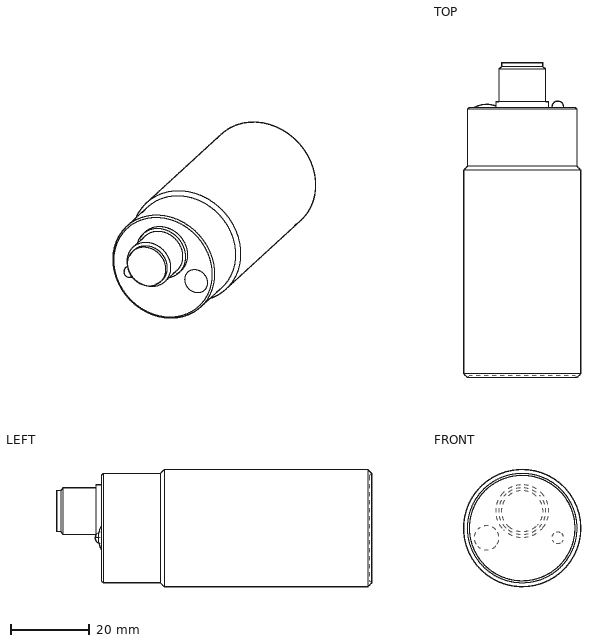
import cadquery as cq
import math

sleeve_end = 54.0
cap_end = 69.1
flange_end = 70.5
tip_start = 79.45
total_length = 80.5

sleeve_diameter = 30.0
cap_diameter = 28.0
sensing_face_diameter = 27.0

flange_diameter = 13.5
thread_diameter = 12.0
tip_diameter = 10.55

sleeve_chamfer = (sleeve_diameter - cap_diameter) / 2
face_recess_depth = (cap_diameter - sensing_face_diameter) / 2
thread_bevel_length = 0.6
cap_chamfer = 0.5

connector_height = 4.35
indicator_offset = 9.1
indicator_height = -2.5

lamp_diameter = 3.0
lamp_rise = 1.6
dome_diameter = 6.3
dome_rise = 0.8

overlap = 0.8


def make_sensor_body():
    """Sleeve with chamfered ends and recessed sensing face, stepping down to the cap."""
    sleeve_radius = sleeve_diameter / 2
    cap_radius = cap_diameter / 2
    half_section = (
        cq.Workplane("XY")
        .moveTo(0, face_recess_depth)
        .lineTo(sensing_face_diameter / 2, face_recess_depth)
        .lineTo(cap_radius, 0)
        .lineTo(sleeve_radius, sleeve_chamfer)
        .lineTo(sleeve_radius, sleeve_end - sleeve_chamfer)
        .lineTo(cap_radius, sleeve_end)
        .lineTo(cap_radius, cap_end)
        .lineTo(0, cap_end)
        .close()
    )
    body = half_section.revolve(360, (0, 0, 0), (0, 1, 0))
    return body.faces(">Y").chamfer(cap_chamfer)


def make_connector():
    """Flange, threaded barrel and reduced tip, set off above the sensor axis."""
    flange_radius = flange_diameter / 2
    thread_radius = thread_diameter / 2
    tip_radius = tip_diameter / 2
    half_section = (
        cq.Workplane("XY")
        .moveTo(0, cap_end - overlap)
        .lineTo(flange_radius, cap_end - overlap)
        .lineTo(flange_radius, flange_end)
        .lineTo(thread_radius, flange_end)
        .lineTo(thread_radius, tip_start - thread_bevel_length)
        .lineTo(tip_radius, tip_start)
        .lineTo(tip_radius, total_length)
        .lineTo(0, total_length)
        .close()
    )
    connector = half_section.revolve(360, (0, 0, 0), (0, 1, 0))
    return connector.translate((0, 0, connector_height))


def make_rear_bulge(diameter, rise, x):
    """Spherical bulge on the cap's rear face, on a short root sunk in the cap."""
    base_radius = diameter / 2
    sphere_radius = (base_radius**2 + rise**2) / (2 * rise)
    half_height = rise / 2
    height_above_center = sphere_radius - half_height
    radius_at_half_height = math.sqrt(sphere_radius**2 - height_above_center**2)
    half_section = (
        cq.Workplane("XY")
        .moveTo(0, -overlap)
        .lineTo(base_radius, -overlap)
        .lineTo(base_radius, 0)
        .threePointArc((radius_at_half_height, half_height), (0, rise))
        .close()
    )
    bulge = half_section.revolve(360, (0, 0, 0), (0, 1, 0))
    return bulge.translate((x, cap_end, indicator_height))


lamp = make_rear_bulge(lamp_diameter, lamp_rise, indicator_offset)
dome = make_rear_bulge(dome_diameter, dome_rise, -indicator_offset)

result = make_sensor_body().union(make_connector()).union(lamp).union(dome)